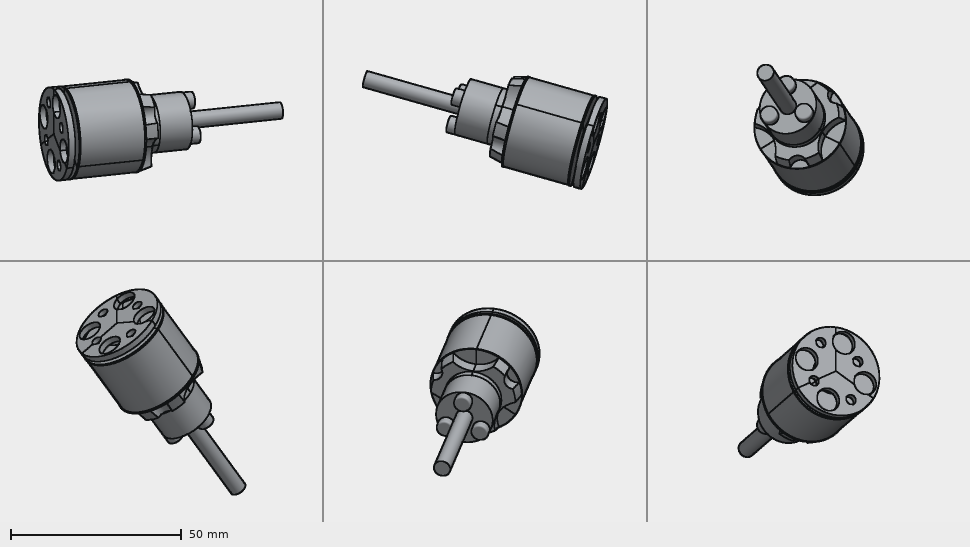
import cadquery as cq
import math


PLATE_BACK = 2.0
SLEEVE_FRONT = 3.2
LIP_WIDTH = 0.5
SLEEVE_BACK = 24.0
CROWN_BACK = 28.0
CAP_FRONT = 30.0
CAP_BACK = 39.95
CABLE_END = 70.0

OUTER_RADIUS = 27.5 / 2
SLEEVE_RADIUS = 27.3 / 2
NECK_RADIUS = 11.3 / 2
NECK_FLARE = 0.35
NECK_CURVE_RADIUS = 1.0
CROWN_FRONT_RADIUS = 13.65
CROWN_BACK_RADIUS = 12.6
BOSS_RADIUS = 17.0 / 2
CABLE_RADIUS = 5.0 / 2

SECTOR_COUNT = 3
SECTOR_ANGLE = 360 / SECTOR_COUNT
SEAM_ANGLES = [90 + i * SECTOR_ANGLE for i in range(SECTOR_COUNT)]

WIDE_SCALLOP_RADIUS = 9.1
WIDE_SCALLOP_OFFSET = 17.85
NARROW_SCALLOP_RADIUS = 2.9
NARROW_SCALLOP_OFFSET = 14.0

LARGE_HOLES = (7.0, 9.5, (75, 165, 255, 345))
SMALL_OUTER_HOLES = (3.0, 9.5, (120, 300))
SMALL_INNER_HOLES = (3.0, 8.0, (30, 210))

SCREW_DIAMETER = 5.1
SCREW_HEIGHT = 3.0
SCREW_FILLET = 0.55
SCREW_CIRCLE_RADIUS = 6.0


def polar(radius, angle):
    """X and Z of a point at a radius and angle about the axis, measured from +X toward +Z."""
    return radius * math.cos(math.radians(angle)), radius * math.sin(math.radians(angle))


def rod(radius, angle, diameter, front, back):
    """Cylinder parallel to Y, from y = front to y = back."""
    x, z = polar(radius, angle)
    axis_start = cq.Vector(x, front, z)
    return cq.Workplane(cq.Solid.makeCylinder(diameter / 2, back - front, axis_start, cq.Vector(0, 1, 0)))


def turned_body():
    """Plate, neck, lipped sleeve, conical crown and front of the boss, as one turned shape.

    The neck is a hollow arc that flares toward the front of the sleeve.
    """
    profile = (
        cq.Workplane("XY")
        .lineTo(OUTER_RADIUS, 0)
        .lineTo(OUTER_RADIUS, PLATE_BACK)
        .lineTo(NECK_RADIUS, PLATE_BACK)
        .radiusArc((NECK_RADIUS + NECK_FLARE, SLEEVE_FRONT), NECK_CURVE_RADIUS)
        .lineTo(OUTER_RADIUS, SLEEVE_FRONT)
        .lineTo(OUTER_RADIUS, SLEEVE_FRONT + LIP_WIDTH)
        .lineTo(SLEEVE_RADIUS, SLEEVE_FRONT + LIP_WIDTH)
        .lineTo(SLEEVE_RADIUS, SLEEVE_BACK - LIP_WIDTH)
        .lineTo(OUTER_RADIUS, SLEEVE_BACK - LIP_WIDTH)
        .lineTo(OUTER_RADIUS, SLEEVE_BACK)
        .lineTo(CROWN_FRONT_RADIUS, SLEEVE_BACK)
        .lineTo(CROWN_BACK_RADIUS, CROWN_BACK)
        .lineTo(BOSS_RADIUS, CROWN_BACK)
        .lineTo(BOSS_RADIUS, CAP_FRONT)
        .lineTo(0, CAP_FRONT)
        .close()
    )
    return profile.revolve(360, (0, 0, 0), (0, 1, 0))


def cut_plate_holes(body):
    for diameter, distance, angles in (LARGE_HOLES, SMALL_OUTER_HOLES, SMALL_INNER_HOLES):
        for angle in angles:
            body = body.cut(rod(distance, angle, diameter, 0, PLATE_BACK))
    return body


def cut_scallops(body):
    for seam_angle in SEAM_ANGLES:
        mid_angle = seam_angle + SECTOR_ANGLE / 2
        for offset, angle, radius in (
            (WIDE_SCALLOP_OFFSET, seam_angle, WIDE_SCALLOP_RADIUS),
            (NARROW_SCALLOP_OFFSET, mid_angle, NARROW_SCALLOP_RADIUS),
        ):
            body = body.cut(rod(offset, angle, 2 * radius, SLEEVE_BACK, CROWN_BACK))
    return body


def sector_wedge(start_angle):
    """Wedge between two neighbouring seams, reaching past the outer radius everywhere."""
    reach = 3 * OUTER_RADIUS
    return (
        cq.Workplane("XZ")
        .lineTo(*polar(reach, start_angle))
        .lineTo(*polar(reach, start_angle + SECTOR_ANGLE))
        .close()
        .extrude(-CAP_FRONT)
    )


def make_body_sector(whole_body, start_angle):
    return whole_body.intersect(sector_wedge(start_angle))


def make_cap():
    """Rear part of the boss with the cable stub on its back."""
    boss = rod(0, 0, 2 * BOSS_RADIUS, CAP_FRONT, CAP_BACK)
    cable = rod(0, 0, 2 * CABLE_RADIUS, CAP_BACK, CABLE_END)
    return boss.union(cable)


def make_screw(angle):
    """Screw head seated on the back of the cap, rounded at both ends."""
    head = rod(SCREW_CIRCLE_RADIUS, angle, SCREW_DIAMETER, CAP_BACK, CAP_BACK + SCREW_HEIGHT)
    return head.edges("%CIRCLE").fillet(SCREW_FILLET)


whole_body = cut_scallops(cut_plate_holes(turned_body()))
body_sectors = [make_body_sector(whole_body, angle) for angle in SEAM_ANGLES]
cap = make_cap()
screws = [make_screw(angle) for angle in SEAM_ANGLES]

result = cq.Compound.makeCompound(
    [
        *[sector.val() for sector in body_sectors],
        cap.val(),
        *[screw.val() for screw in screws],
    ]
)